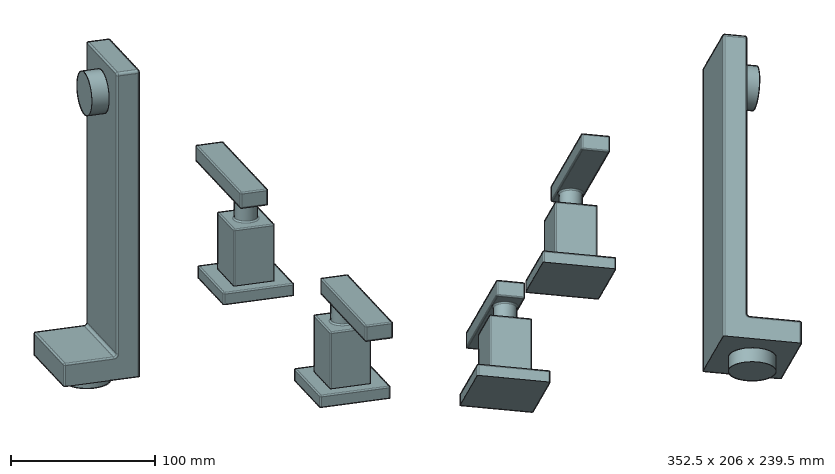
import cadquery as cq

SPOUT_WIDTH = 63.0
SPOUT_HEIGHT = 229.0
COLUMN_DEPTH = 17.0
FOOT_DEPTH = 55.7
FOOT_HEIGHT = 17.0
INNER_RADIUS = 2.0
CORNER_RADIUS = 2.0
EDGE_RADIUS = 1.25

OUTLET_DIAMETER = 31.5
OUTLET_LENGTH = 12.7
OUTLET_DROP = 25.5
STUB_DIAMETER = 33.0
STUB_LENGTH = 10.5

HANDLE_OFFSET_X = 100.0
TOTAL_DEPTH = 206.0
PLATE_LENGTH = 53.5
PLATE_DEPTH = 51.8
PLATE_HEIGHT = 8.8
BLOCK_LENGTH = 34.5
BLOCK_DEPTH = 30.0
BLOCK_TOP = 51.0
STEM_DIAMETER = 16.2
STEM_END_RADIUS = 1.0
LEVER_BOTTOM = 66.0
LEVER_TOP = 78.0
LEVER_DEPTH = 20.0
HANDLE_EDGE_RADIUS = 1.0

TOTAL_WIDTH = 352.5
LEVER_INNER_X = HANDLE_OFFSET_X - BLOCK_LENGTH / 2
LEVER_LENGTH = TOTAL_WIDTH / 2 - LEVER_INNER_X

HANDLE_Y = TOTAL_DEPTH - PLATE_DEPTH / 2
COLUMN_FRONT_Y = FOOT_DEPTH - COLUMN_DEPTH


def spout_shell():
    """L-shaped spout with rounded edges everywhere but underneath and in the inner corner."""
    shell = (
        cq.Workplane("YZ")
        .moveTo(0, 0)
        .lineTo(FOOT_DEPTH, 0)
        .lineTo(FOOT_DEPTH, SPOUT_HEIGHT)
        .lineTo(COLUMN_FRONT_Y, SPOUT_HEIGHT)
        .lineTo(COLUMN_FRONT_Y, FOOT_HEIGHT)
        .lineTo(0, FOOT_HEIGHT)
        .close()
        .extrude(SPOUT_WIDTH / 2, both=True)
    )
    inner_corner = cq.selectors.NearestToPointSelector((0, COLUMN_FRONT_Y, FOOT_HEIGHT))
    shell = shell.edges(inner_corner).fillet(INNER_RADIUS)
    shell = shell.faces(">Z").edges("|Y").fillet(CORNER_RADIUS)
    rim = shell.faces(">Z").edges("|X").add(shell.faces("<Y").edges("not <Z"))
    return rim.fillet(EDGE_RADIUS)


def build_spout():
    outlet = (
        cq.Workplane("XZ", origin=(0, COLUMN_FRONT_Y, SPOUT_HEIGHT - OUTLET_DROP))
        .circle(OUTLET_DIAMETER / 2)
        .extrude(OUTLET_LENGTH)
    )
    stub = (
        cq.Workplane("XY", origin=(0, FOOT_DEPTH / 2, 0))
        .circle(STUB_DIAMETER / 2)
        .extrude(-STUB_LENGTH)
    )
    return spout_shell().union(outlet).union(stub)


def slab(length, depth, bottom, top, center_x):
    """Upright box centred on the handle's y position."""
    return (
        cq.Workplane("XY", origin=(center_x, HANDLE_Y, bottom))
        .rect(length, depth)
        .extrude(top - bottom)
    )


def flared_stem(center_x):
    """Round stem that flares with a concave round into the block below and the lever above."""
    shaft_radius = STEM_DIAMETER / 2
    flare_radius = shaft_radius + STEM_END_RADIUS
    height = LEVER_BOTTOM - BLOCK_TOP
    return (
        cq.Workplane("XZ", origin=(center_x, HANDLE_Y, BLOCK_TOP))
        .moveTo(0, 0)
        .lineTo(flare_radius, 0)
        .radiusArc((shaft_radius, STEM_END_RADIUS), STEM_END_RADIUS)
        .lineTo(shaft_radius, height - STEM_END_RADIUS)
        .radiusArc((flare_radius, height), STEM_END_RADIUS)
        .lineTo(0, height)
        .close()
        .revolve(360, (0, 0, 0), (0, 1, 0))
    )


def build_handle(side):
    """Handle on the given side of the spout: -1 is the -X side, +1 the +X side."""
    center_x = side * HANDLE_OFFSET_X
    lever_center_x = side * (LEVER_INNER_X + LEVER_LENGTH / 2)
    plate = slab(PLATE_LENGTH, PLATE_DEPTH, 0, PLATE_HEIGHT, center_x)
    plate = plate.edges("|Z or >Z").fillet(HANDLE_EDGE_RADIUS)
    block = slab(BLOCK_LENGTH, BLOCK_DEPTH, PLATE_HEIGHT, BLOCK_TOP, center_x)
    block = block.edges("|Z or >Z").fillet(HANDLE_EDGE_RADIUS)
    lever = slab(LEVER_LENGTH, LEVER_DEPTH, LEVER_BOTTOM, LEVER_TOP, lever_center_x)
    lever = lever.edges().fillet(HANDLE_EDGE_RADIUS)
    stem = flared_stem(center_x)
    return plate.union(block).union(stem).union(lever)


spout = build_spout()
handles = [build_handle(side) for side in (-1, 1)]

result = cq.Compound.makeCompound([spout.val(), *[handle.val() for handle in handles]])